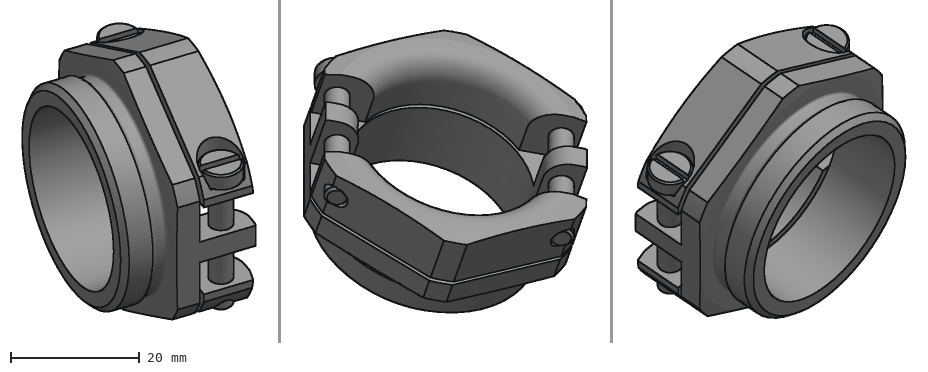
import cadquery as cq
import math


across_flats = 42.0
corner_radius = 23.25

bore_radius = 15.0
flange_thickness = 4.0
gap = 0.7
clamp_thickness = 9.1
clamp_front = flange_thickness + gap
clamp_back = clamp_front + clamp_thickness
bore_flare_radius = 4.0

front_cone_depth = 0.15
front_cone_radius = across_flats / 2
back_cone_radius = 20.6
back_cone_angle = 15.0
back_cone_depth = (corner_radius - back_cone_radius) * math.tan(math.radians(back_cone_angle))

thread_radius = 18.5
thread_length = 8.0
tip_chamfer = 1.0
neck_radius = 17.7
neck_fillet = 0.5
thread_start = 2.9

tab_half_height = 2.0
clamp_half_start = 8.5

screw_x = 18.0
screw_to_back = 4.7
screw_y = clamp_back - screw_to_back
shank_radius = 2.0
shank_end_z = -13.85
shank_chamfer = 0.45
head_radius = 3.5
head_bottom_z = 11.1
head_top_z = 13.85
head_chamfer = 0.3
thread_hole_radius = 1.65
slot_width = 1.2
slot_depth = 1.2
counterbore_radius = 3.75


def revolve_about_y(profile):
    """Turn a closed (radius, y) profile into a solid around the Y axis."""
    return profile.close().revolve(360, (0, 0, 0), (0, 1, 0))


def box_between(x_range, y_range, z_range):
    """Box spanning the given (low, high) ranges."""
    lows, highs = zip(x_range, y_range, z_range)
    sizes = [high - low for low, high in zip(lows, highs)]
    return cq.Workplane("XY").box(*sizes, centered=False).translate(lows)


def make_hexagon():
    """Hexagonal prism with two flats square to X and two corners on the Z axis."""
    half_corner_angle = 30
    corner_to_corner = across_flats / math.cos(math.radians(half_corner_angle))
    prism = cq.Workplane("XZ").polygon(6, corner_to_corner).extrude(-clamp_back)
    return prism.rotate((0, 0, 0), (0, 1, 0), half_corner_angle)


def make_body():
    """Flange and clamp as one hexagon with turned corners, coned faces and a flared bore."""
    profile = (
        cq.Workplane("XY")
        .moveTo(bore_radius, 0)
        .lineTo(front_cone_radius, 0)
        .lineTo(corner_radius, front_cone_depth)
        .lineTo(corner_radius, clamp_back - back_cone_depth)
        .lineTo(back_cone_radius, clamp_back)
        .lineTo(bore_radius + bore_flare_radius, clamp_back)
        .radiusArc((bore_radius, clamp_back - bore_flare_radius), -bore_flare_radius)
    )
    return revolve_about_y(profile).intersect(make_hexagon())


def cut_clamp_free(body):
    """Separate the two clamp halves from the flange and from the side tabs."""
    full_width = (-corner_radius, corner_radius)
    window = box_between(full_width, (flange_thickness, clamp_back), (tab_half_height, clamp_half_start))
    slit = box_between(full_width, (flange_thickness, clamp_front), (tab_half_height, corner_radius))
    upper_opening = window.union(slit)
    return body.cut(upper_opening).cut(upper_opening.mirror("XY"))


def make_threaded_end():
    """Plain thread cylinder with a chamfered tip and a filleted neck next to the flange."""
    diagonal = math.sqrt(0.5)
    fillet_rise = neck_fillet * (1 - diagonal)
    cone_height = thread_radius - neck_radius - fillet_rise
    cone_start = thread_start - cone_height
    neck_end = cone_start - neck_fillet * diagonal
    profile = (
        cq.Workplane("XY")
        .moveTo(bore_radius, 0)
        .lineTo(neck_radius + neck_fillet, 0)
        .radiusArc((neck_radius, -neck_fillet), -neck_fillet)
        .lineTo(neck_radius, -neck_end)
        .radiusArc((neck_radius + fillet_rise, -cone_start), -neck_fillet)
        .lineTo(thread_radius, -thread_start)
        .lineTo(thread_radius, -thread_length + tip_chamfer)
        .lineTo(thread_radius - tip_chamfer, -thread_length)
        .lineTo(bore_radius, -thread_length)
    )
    return revolve_about_y(profile)


def rod(x, radius, bottom_z, top_z):
    """Upright cylinder on a screw axis."""
    plane = cq.Workplane("XY", origin=(x, screw_y, bottom_z))
    return plane.circle(radius).extrude(top_z - bottom_z)


def make_screw(x):
    """Slotted cheese-head screw that crosses both clamp halves and the tab."""
    shank = rod(x, shank_radius, shank_end_z, head_bottom_z).faces("<Z").chamfer(shank_chamfer)
    head = rod(x, head_radius, head_bottom_z, head_top_z).faces(">Z").chamfer(head_chamfer)
    slot = box_between(
        (x - slot_width / 2, x + slot_width / 2),
        (screw_y - head_radius, screw_y + head_radius),
        (head_top_z - slot_depth, head_top_z),
    )
    return shank.union(head.cut(slot))


def fit_screw(body, x):
    """Sink the head, drill the threaded hole through the lower half and add the screw."""
    counterbore = rod(x, counterbore_radius, head_bottom_z, corner_radius)
    thread_hole = rod(x, thread_hole_radius, -corner_radius, -clamp_half_start)
    return body.cut(counterbore).cut(thread_hole).union(make_screw(x))


result = cut_clamp_free(make_body()).union(make_threaded_end())
for screw_position in (-screw_x, screw_x):
    result = fit_screw(result, screw_position)